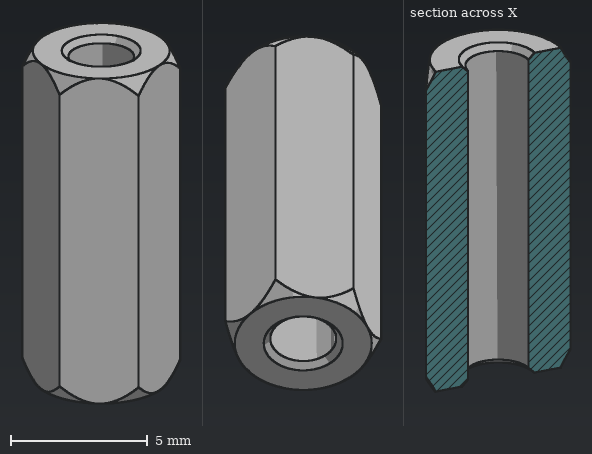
import cadquery as cq
import math

length = 13.0
across_flats = 5.0
bore_diameter = 2.4
countersink_diameter = 2.89
countersink_angle = 90.0
corner_chamfer_angle = 60.0

across_corners = across_flats / math.cos(math.radians(30))
flat_radius = across_flats / 2
corner_radius = across_corners / 2
bore_radius = bore_diameter / 2
countersink_radius = countersink_diameter / 2
chamfer_height = (corner_radius - flat_radius) * math.tan(math.radians(corner_chamfer_angle))
countersink_depth = (countersink_radius - bore_radius) / math.tan(math.radians(countersink_angle / 2))


def revolve_about_z(profile):
    """Revolve a closed outline of (radius, height) points about the Z axis."""
    return cq.Workplane("XZ").polyline(profile).close().revolve(360, (0, 0), (0, 1))


hex_bar = cq.Workplane("XY").polygon(6, across_corners).extrude(length).rotate((0, 0, 0), (0, 0, 1), 30)

envelope = revolve_about_z([
    (0, 0),
    (flat_radius, 0),
    (corner_radius, chamfer_height),
    (corner_radius, length - chamfer_height),
    (flat_radius, length),
    (0, length),
])

bore = revolve_about_z([
    (0, 0),
    (countersink_radius, 0),
    (bore_radius, countersink_depth),
    (bore_radius, length - countersink_depth),
    (countersink_radius, length),
    (0, length),
])

result = hex_bar.intersect(envelope).cut(bore)